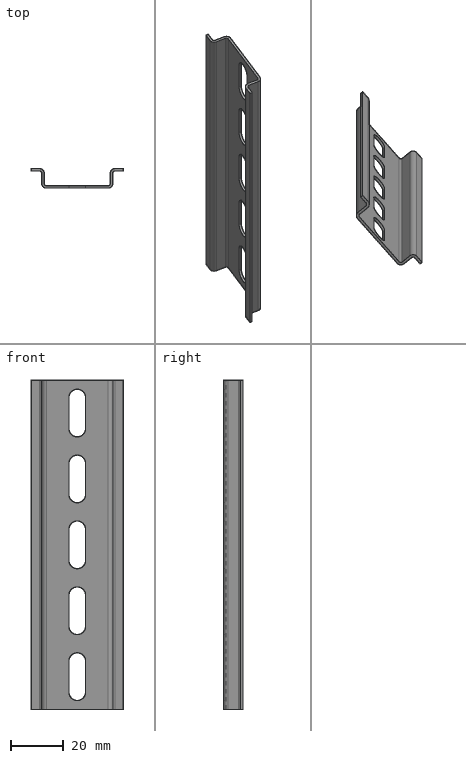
import cadquery as cq

length = 125.0
width = 35.0
depth = 7.5
thickness = 1.0

channel_width = 27.0
inner_radius = 0.8
outer_radius = inner_radius + thickness

slot_count = 5
slot_pitch = length / slot_count
slot_length = 18.0
slot_width = 6.2


def make_rail():
    """Extrude the hat section along Z and round its bends."""
    channel = cq.Workplane("XY").box(channel_width, depth, length)
    flanges = (
        cq.Workplane("XY")
        .box(width, thickness, length)
        .translate((0, (depth - thickness) / 2, 0))
    )
    cavity = (
        cq.Workplane("XY")
        .box(channel_width - 2 * thickness, depth, length)
        .translate((0, thickness, 0))
    )
    rail = channel.union(flanges).cut(cavity)

    web_outside = -depth / 2
    flange_outside = depth / 2
    outer_half = channel_width / 2
    inner_half = outer_half - thickness
    bends = [
        (outer_half, web_outside, outer_radius),
        (inner_half, web_outside + thickness, inner_radius),
        (inner_half, flange_outside, outer_radius),
        (outer_half, flange_outside - thickness, inner_radius),
    ]
    for x, y, radius in bends:
        for side in (-1, 1):
            edge = cq.selectors.NearestToPointSelector((side * x, y, 0))
            rail = rail.edges("|Z").edges(edge).fillet(radius)
    return rail


def make_slots():
    """Row of upright round-ended slots through the web."""
    return (
        cq.Workplane("XZ")
        .rarray(1.2, slot_pitch, 1, slot_count)
        .slot2D(slot_length, slot_width, 90)
        .extrude(depth)
    )


result = make_rail().cut(make_slots())